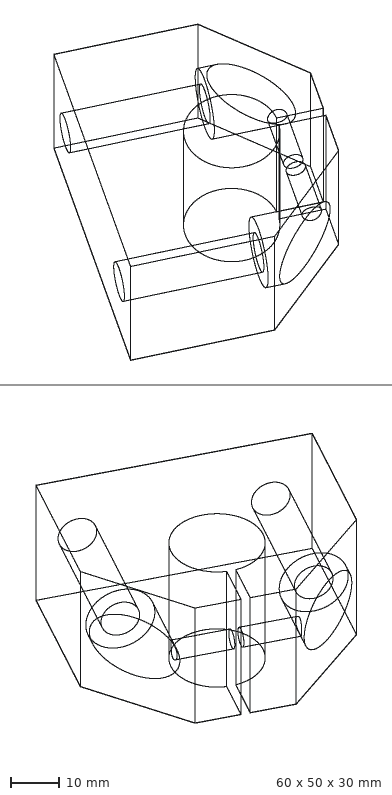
import cadquery as cq

width = 60.0
depth = width * 5 / 6
height = width / 2
corner_cut = 19.0

bore_diameter = width / 3
bore_y = width / 2
slit_width = 2.0

mount_spacing = 42.0
mount_diameter = 8.4
counterbore_diameter = 15.0
counterbore_floor_y = bore_y

clamp_diameter = 4.2
clamp_from_back = 6.5

mid_z = height / 2
mount_x = mount_spacing / 2


def clamp_body():
    """Block with its two back corners cut off at 45 degrees."""
    block = cq.Workplane("XY").box(width, depth, height, centered=(True, False, False))
    return block.edges("|Z and >Y").chamfer(corner_cut)


def rod_along_y(x, start_y, end_y, diameter):
    """Round cutter along Y at mid height."""
    plane = cq.Plane(origin=(x, start_y, mid_z), xDir=(1, 0, 0), normal=(0, 1, 0))
    return cq.Workplane(plane).circle(diameter / 2).extrude(end_y - start_y)


def mounting_hole(x):
    """Through hole with a counterbore deep enough for its rim to close on the slope."""
    hole = rod_along_y(x, 0, depth, mount_diameter)
    return hole.union(rod_along_y(x, counterbore_floor_y, depth, counterbore_diameter))


def shaft_bore():
    bore = cq.Workplane("XY").center(0, bore_y).circle(bore_diameter / 2).extrude(height)
    slit_length = depth - bore_y
    slit = (
        cq.Workplane("XY")
        .center(0, bore_y + slit_length / 2)
        .rect(slit_width, slit_length)
        .extrude(height)
    )
    return bore.union(slit)


def clamp_hole():
    plane = cq.Plane(
        origin=(-width / 2, depth - clamp_from_back, mid_z), xDir=(0, 1, 0), normal=(1, 0, 0)
    )
    return cq.Workplane(plane).circle(clamp_diameter / 2).extrude(width)


result = clamp_body().cut(shaft_bore()).cut(clamp_hole())
for side in (-1, 1):
    result = result.cut(mounting_hole(side * mount_x))